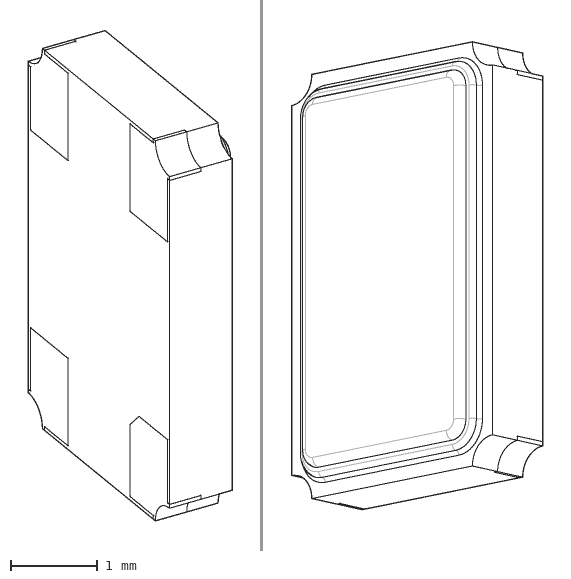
import cadquery as cq

PACKAGE_WIDTH = 3.2
PACKAGE_HEIGHT = 5.0
PACKAGE_THICKNESS = 0.84
NOTCH_RADIUS = 0.32

COLLAR_WALL = 0.05
COLLAR_LENGTH = PACKAGE_THICKNESS / 2
PAD_EDGE_GAP = 0.05
PAD_REACH_X = 0.9
PAD_REACH_Z = 1.2
PAD_THICKNESS = 0.02
INDEX_CHAMFER = 0.21

COVER_CORNER_INSET = 0.535
SEAL_THICKNESS = 0.05
BRIM_INSET = 0.21
BRIM_THICKNESS = 0.06
CROWN_INSET = 0.32
CROWN_THICKNESS = 0.1

HALF_WIDTH = PACKAGE_WIDTH / 2
HALF_HEIGHT = PACKAGE_HEIGHT / 2
CORNERS = [(side_x, side_z) for side_x in (-1, 1) for side_z in (-1, 1)]
INDEX_CORNER = (1, -1)


def plane_at(y):
    """Plane at depth y whose local axes are X and Z; it extrudes toward -Y."""
    return cq.Workplane("XZ", origin=(0, y, 0))


def corner_cylinder(corner, radius, length):
    """Cylinder about a package corner edge, from the mounting face inward."""
    side_x, side_z = corner
    return plane_at(0).center(side_x * HALF_WIDTH, side_z * HALF_HEIGHT).circle(radius).extrude(-length)


def make_block():
    """Package block with a quarter-round notch along each corner edge."""
    block = plane_at(0).rect(PACKAGE_WIDTH, PACKAGE_HEIGHT).extrude(-PACKAGE_THICKNESS)
    for corner in CORNERS:
        block = block.cut(corner_cylinder(corner, NOTCH_RADIUS, PACKAGE_THICKNESS))
    return block


def make_pad(corner):
    """Rectangular pad near a corner; the index pad has its innermost corner cut off."""
    side_x, side_z = corner
    outer_x = side_x * (HALF_WIDTH - PAD_EDGE_GAP)
    outer_z = side_z * (HALF_HEIGHT - PAD_EDGE_GAP)
    inner_x = side_x * (HALF_WIDTH - PAD_REACH_X)
    inner_z = side_z * (HALF_HEIGHT - PAD_REACH_Z)
    outline = [(outer_x, outer_z), (inner_x, outer_z)]
    if corner == INDEX_CORNER:
        outline.append((inner_x, inner_z + side_z * INDEX_CHAMFER))
        outline.append((inner_x + side_x * INDEX_CHAMFER, inner_z))
    else:
        outline.append((inner_x, inner_z))
    outline.append((outer_x, inner_z))
    return plane_at(0).polyline(outline).close().extrude(-PAD_THICKNESS)


def make_contact(corner, block):
    """Contact let into the block, flush with its mounting face and notch."""
    collar = corner_cylinder(corner, NOTCH_RADIUS + COLLAR_WALL, COLLAR_LENGTH)
    return make_pad(corner).union(collar).intersect(block)


def make_slab(base_y, thickness):
    """Slab as wide and high as the package."""
    return plane_at(base_y).rect(PACKAGE_WIDTH, PACKAGE_HEIGHT).extrude(-thickness)


def make_cover_plate(base_y, inset, thickness):
    """Rounded rectangular plate set in from the package sides."""
    return (
        plane_at(base_y)
        .rect(PACKAGE_WIDTH - 2 * inset, PACKAGE_HEIGHT - 2 * inset)
        .extrude(-thickness)
        .edges("|Y")
        .fillet(COVER_CORNER_INSET - inset)
    )


def make_rounded_cap(base_y, inset, thickness):
    """Plate whose outer rim is a quarter round over its full thickness."""
    plate = make_cover_plate(base_y - thickness, inset, 2 * thickness)
    return plate.faces(">Y").edges().fillet(thickness).intersect(make_slab(base_y, thickness))


def make_seal():
    """Plate under the brim whose sides flare out to the housing in a hollow quarter round."""
    footing = make_slab(PACKAGE_THICKNESS - SEAL_THICKNESS, SEAL_THICKNESS)
    core = make_cover_plate(PACKAGE_THICKNESS, BRIM_INSET, 2 * SEAL_THICKNESS)
    foot_limit_x = HALF_WIDTH - BRIM_INSET / 2
    foot_limit_z = HALF_HEIGHT - BRIM_INSET / 2
    half_span = SEAL_THICKNESS / 2
    foot_edges = cq.selectors.BoxSelector(
        (-foot_limit_x, PACKAGE_THICKNESS - half_span, -foot_limit_z),
        (foot_limit_x, PACKAGE_THICKNESS + half_span, foot_limit_z),
        boundingbox=True,
    )
    flared = footing.union(core).edges(foot_edges).fillet(SEAL_THICKNESS)
    return flared.intersect(make_slab(PACKAGE_THICKNESS, SEAL_THICKNESS))


block = make_block()
contacts = [make_contact(corner, block) for corner in CORNERS]

housing = block
for contact in contacts:
    housing = housing.cut(contact)

seal = make_seal()

brim_base = PACKAGE_THICKNESS + SEAL_THICKNESS
brim = make_rounded_cap(brim_base, BRIM_INSET, BRIM_THICKNESS)

crown_base = brim_base + BRIM_THICKNESS
crown = make_rounded_cap(crown_base, CROWN_INSET, CROWN_THICKNESS)

result = cq.Compound.makeCompound(
    [housing.val(), *[contact.val() for contact in contacts], seal.val(), brim.val(), crown.val()]
)